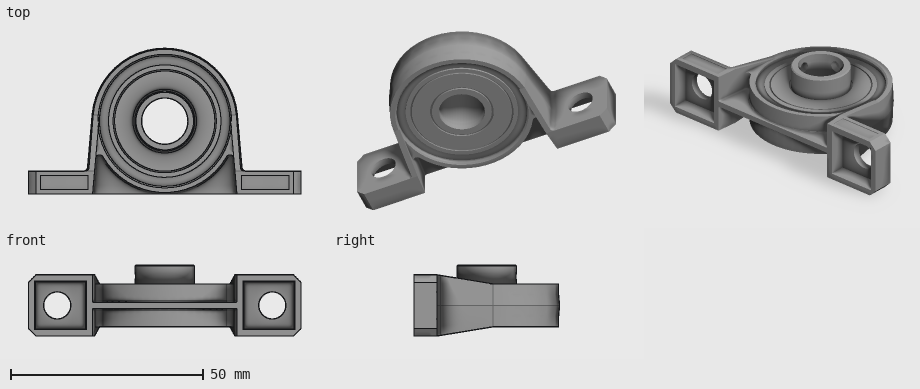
import cadquery as cq
import math

overall_length = 71.0
base_y = -19.0
overrun = 1.0
foot_depth = 6.0
foot_top_y = base_y + foot_depth
foot_half_width = 8.0
foot_chamfer = 2.0
half_length = overall_length / 2

housing_radius = 19.0
housing_half_width = 5.6
wall_lean = math.radians(5.0)
draft_angle = 3.0
tangent_y = housing_radius * math.sin(wall_lean)
blank_half_width = foot_half_width + overrun
wall_root_fillet = 1.0

wall_inner_base_x = 18.8
web_half_thickness = 0.75
ring_radius = 18.6
ring_root_fillet = 0.4
ring_corner_fillet = 1.0

pocket_wall = 1.6
pocket_half_height = 6.33
pocket_depth = 4.0
pocket_draft = 3.0
bolt_x = 28.0
bolt_diameter = 7.0

panel_length = 12.4
panel_width = 3.7
panel_depth = 0.2
panel_x = 26.2
panel_y = base_y + foot_depth / 2

seat_radius = 17.0
seat_chamfer = 0.4
bearing_half_width = 4.7
outer_ring_radius = 14.65
seat_floor = 4.2
seal_groove_outer_radius = 13.45
seal_groove_inner_radius = 13.05
sleeve_clearance_radius = 8.3
groove_depth = 0.5
sleeve_radius = 7.8
sleeve_top = 10.5
sleeve_chamfer = 0.3
bore_radius = 6.0
set_screw_diameter = 3.0
set_screw_z = 7.5


def disc(radius, bottom, top):
    """Cylinder about the bore axis between two Z levels."""
    return cq.Workplane("XY").workplane(offset=bottom).circle(radius).extrude(top - bottom)


def mirrored_in_z(body):
    """The body together with its mirror image below the parting plane."""
    return body.union(body.mirror("XY"))


def inner_wall_x(y):
    """Half distance between the inner wall faces at a given Y."""
    return wall_inner_base_x - (y - base_y) * math.tan(wall_lean)


def shell_half():
    """Upper half of the round top with its tangent, leaning and drafted side walls."""
    tangent_x = housing_radius * math.cos(wall_lean)
    base_x = tangent_x + (tangent_y - base_y) * math.tan(wall_lean)
    return (
        cq.Workplane("XY")
        .moveTo(-base_x, base_y)
        .lineTo(-tangent_x, tangent_y)
        .threePointArc((0, housing_radius), (tangent_x, tangent_y))
        .lineTo(base_x, base_y)
        .close()
        .extrude(blank_half_width, taper=draft_angle)
    )


def feet_half():
    """Upper half of one bar that spans both feet."""
    return (
        cq.Workplane("XY")
        .box(overall_length, foot_depth, blank_half_width, centered=(True, False, False))
        .translate((0, base_y, 0))
    )


def round_wall_roots(body):
    """Fillet the concave corners where the leaning walls stand on the feet."""
    margin = 0.1
    reach = half_length - margin
    foot_top_plane = cq.selectors.BoxSelector(
        (-reach, foot_top_y - margin, -margin),
        (reach, foot_top_y + margin, blank_half_width + margin),
        boundingbox=True,
    )
    return body.edges(foot_top_plane).edges("not |X").fillet(wall_root_fillet)


def side_envelope():
    """Side profile: narrow at the round top, flaring to the full width of the feet."""
    return (
        cq.Workplane("YZ")
        .moveTo(housing_radius, 0)
        .lineTo(housing_radius, housing_half_width)
        .lineTo(tangent_y, housing_half_width)
        .lineTo(foot_top_y, foot_half_width)
        .lineTo(base_y, foot_half_width)
        .lineTo(base_y, 0)
        .close()
        .extrude(half_length, both=True)
    )


def housing_blank():
    """Solid outer form of the housing with its feet."""
    half = round_wall_roots(shell_half().union(feet_half())).intersect(side_envelope())
    return mirrored_in_z(half).faces("<X or >X").edges("|Y").chamfer(foot_chamfer)


def between_walls(bottom, top):
    """Prism between the inner wall faces, open through the mounting face."""
    lower_y = base_y - overrun
    base_x = inner_wall_x(lower_y)
    top_x = inner_wall_x(tangent_y)
    return (
        cq.Workplane("XY")
        .workplane(offset=bottom)
        .moveTo(-base_x, lower_y)
        .lineTo(base_x, lower_y)
        .lineTo(top_x, tangent_y)
        .lineTo(-top_x, tangent_y)
        .close()
        .extrude(top - bottom)
    )


def open_space():
    """Space between the walls: around the ring above the web, and over the ring."""
    beside_ring = between_walls(web_half_thickness, housing_half_width)
    beside_ring = beside_ring.cut(disc(ring_radius, 0, housing_half_width))
    below_center = cq.selectors.BoxSelector(
        (-half_length, base_y, 0), (half_length, 0, foot_half_width)
    )
    beside_ring = beside_ring.edges("|Z").edges(below_center).fillet(ring_corner_fillet)
    beside_ring = beside_ring.faces("<Z").edges("not <Y").fillet(ring_root_fillet)
    return beside_ring.union(between_walls(housing_half_width, foot_half_width + overrun))


def mounting_pocket(side):
    """Drafted pocket in the mounting face with a bolt hole through its floor."""
    inner_x = wall_inner_base_x + pocket_wall
    outer_x = half_length - pocket_wall
    width = outer_x - inner_x
    height = 2 * pocket_half_height
    mounting_face = cq.Workplane("XZ", origin=(0, base_y, 0))
    pocket = (
        mounting_face.center(side * (inner_x + outer_x) / 2, 0)
        .rect(width, height)
        .extrude(-pocket_depth, taper=pocket_draft)
    )
    hole = mounting_face.center(side * bolt_x, 0).circle(bolt_diameter / 2).extrude(-foot_depth)
    return pocket.union(hole)


def label_panel(side):
    """Shallow rectangular recess on the upper face of a foot."""
    return (
        cq.Workplane("XY", origin=(side * panel_x, panel_y, foot_half_width))
        .rect(panel_length, panel_width)
        .extrude(-panel_depth)
    )


def seat_recess():
    """Shallow recess above the bearing face, with a chamfered rim."""
    recess = disc(seat_radius, seat_floor, foot_half_width)
    recess = recess.cut(disc(outer_ring_radius, seat_floor, bearing_half_width))
    rim = (
        cq.Workplane("XZ")
        .moveTo(0, housing_half_width - seat_chamfer)
        .lineTo(seat_radius, housing_half_width - seat_chamfer)
        .lineTo(seat_radius + seat_chamfer, housing_half_width)
        .lineTo(0, housing_half_width)
        .close()
        .revolve(360, (0, 0, 0), (0, 1, 0))
    )
    return recess.union(rim)


def face_groove(outer_radius, inner_radius):
    """Ring-shaped groove in the bearing face."""
    bottom = bearing_half_width - groove_depth
    return disc(outer_radius, bottom, foot_half_width).cut(disc(inner_radius, bottom, foot_half_width))


def sleeve():
    """Inner ring collar standing above the bearing on one side."""
    return disc(sleeve_radius, 0, sleeve_top).faces(">Z").edges().chamfer(sleeve_chamfer)


def set_screw_hole(plane):
    """Radial hole through one wall of the sleeve, drilled along the plane normal."""
    return (
        cq.Workplane(plane, origin=(0, 0, set_screw_z))
        .circle(set_screw_diameter / 2)
        .extrude(-(sleeve_radius + overrun))
    )


body = housing_blank()
body = body.cut(mirrored_in_z(open_space()))
body = body.cut(mirrored_in_z(seat_recess()))
body = body.cut(mirrored_in_z(face_groove(seal_groove_outer_radius, seal_groove_inner_radius)))
body = body.cut(mirrored_in_z(face_groove(sleeve_clearance_radius, sleeve_radius)))
body = body.union(sleeve())
body = body.cut(disc(bore_radius, -sleeve_top, sleeve_top))
for side in (-1, 1):
    body = body.cut(mounting_pocket(side))
    body = body.cut(label_panel(side))
for plane in ("YZ", "XZ"):
    body = body.cut(set_screw_hole(plane))

result = body